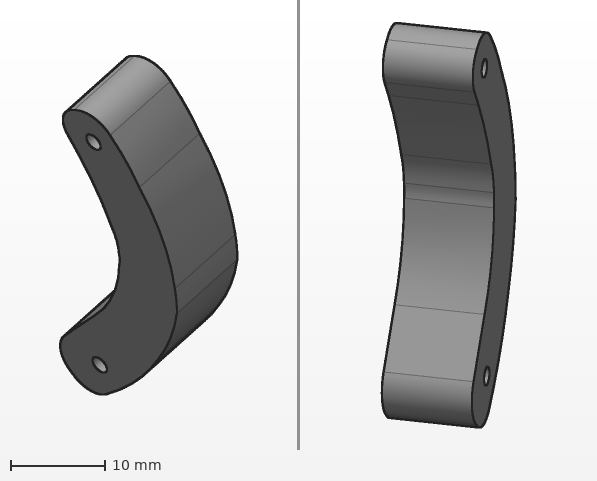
import cadquery as cq

thickness = 10.0
pin_hole_diameter = 2.0
upper_pin = (4.56, 18.25)
lower_pin = (5.43, -17.1)

upper_outer_corner = (6.85, 21.05)
outer_shoulder = (10.92, 15.6)
outer_crest_top = (15.86, 2.9)
outer_crest_bottom = (16.14, -0.9)
outer_haunch = (13.6, -10.1)
lower_outer_corner = (6.55, -20.95)
lower_tip = (1.6, -21.25)
lower_inner_corner = (0.55, -15.94)
inner_haunch = (4.62, -9.78)
inner_crest_bottom = (8.12, 1.07)
inner_crest_top = (8.08, 2.81)
inner_shoulder = (7.06, 6.43)
inner_neck = (2.38, 14.86)
upper_inner_corner = (0.92, 16.87)
upper_tip = (1.83, 21.41)

upper_end_radius = 3.64
upper_nose_radius = 3.08
lower_end_radius = 3.33
lower_nose_radius = 3.86
outer_shoulder_radius = 23.5
outer_upper_radius = 28.0
outer_crest_radius = 22.0
outer_lower_radius = 30.0
outer_foot_radius = 35.6
inner_upper_radius = 40.0
inner_shoulder_radius = 8.5
inner_crest_radius = 4.3
inner_lower_radius = 18.9


def link_outline():
    """Closed outline, run clockwise from the upper outer corner."""
    outline = cq.Workplane("XZ").moveTo(*upper_outer_corner)
    outline = outline.radiusArc(outer_shoulder, outer_shoulder_radius)
    outline = outline.radiusArc(outer_crest_top, outer_upper_radius)
    outline = outline.radiusArc(outer_crest_bottom, outer_crest_radius)
    outline = outline.radiusArc(outer_haunch, outer_lower_radius)
    outline = outline.radiusArc(lower_outer_corner, outer_foot_radius)
    outline = outline.radiusArc(lower_tip, lower_end_radius)
    outline = outline.radiusArc(lower_inner_corner, lower_nose_radius)
    outline = outline.lineTo(*inner_haunch)
    outline = outline.radiusArc(inner_crest_bottom, -inner_lower_radius)
    outline = outline.radiusArc(inner_crest_top, -inner_crest_radius)
    outline = outline.radiusArc(inner_shoulder, -inner_shoulder_radius)
    outline = outline.radiusArc(inner_neck, -inner_upper_radius)
    outline = outline.lineTo(*upper_inner_corner)
    outline = outline.radiusArc(upper_tip, upper_nose_radius)
    outline = outline.radiusArc(upper_outer_corner, upper_end_radius)
    return outline.close()


def pin_holes():
    """Cylinders for the two pin holes, through the full thickness."""
    centres = cq.Workplane("XZ").pushPoints([upper_pin, lower_pin])
    return centres.circle(pin_hole_diameter / 2).extrude(thickness)


result = link_outline().extrude(thickness).cut(pin_holes())